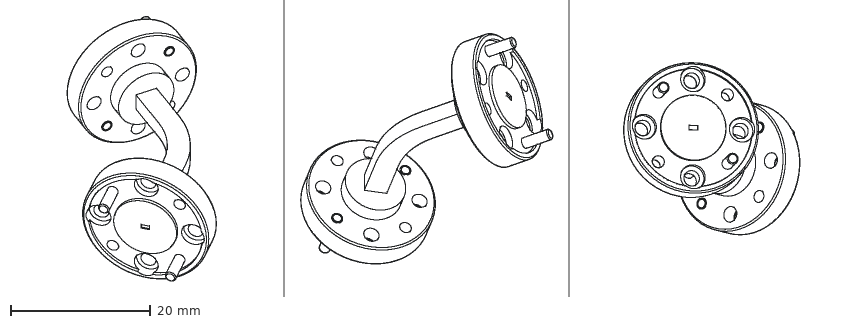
import cadquery as cq
import math

BEND_ANGLE = 45.0
BEND_RADIUS = 12.65
LEG_LENGTH = 7.2
TUBE_WIDTH = 3.32
TUBE_HEIGHT = 2.65

FLANGE_DIAMETER = 19.05
FLANGE_THICKNESS = 4.1
FLANGE_CHAMFER = 0.25
HUB_DIAMETER = 8.95
HUB_LENGTH = 2.5
BOSS_DIAMETER = 9.5
RIM_INNER_DIAMETER = 17.17
RECESS_DEPTH = 0.5

WINDOW_WIDTH = 1.3
WINDOW_HEIGHT = 0.65
WINDOW_DEPTH = 0.2

BOLT_CIRCLE_RADIUS = 7.1
SCREW_HOLE_DIAMETER = 2.25
COUNTERBORE_DIAMETER = 3.6
COUNTERBORE_DEPTH = 1.55
SCREW_ANGLES = (0, 90, 180, 270)
PIN_DIAMETER = 1.6
PIN_PROTRUSION = 3.9
PIN_CHAMFER = 0.17
PIN_ANGLES = (135, 315)
SOCKET_DIAMETER = 1.73
SOCKET_ANGLES = (45, 225)

bend_angle = math.radians(BEND_ANGLE)
bend_sin = math.sin(bend_angle)
bend_cos = math.cos(bend_angle)
hub_end = FLANGE_THICKNESS + HUB_LENGTH
straight_length = hub_end + LEG_LENGTH
bend_end_x = straight_length + BEND_RADIUS * bend_sin
bend_end_y = -BEND_RADIUS * (1 - bend_cos)
outlet_x = bend_end_x + straight_length * bend_cos
outlet_y = bend_end_y - straight_length * bend_sin

INLET_PLANE = cq.Plane(origin=(0, 0, 0), xDir=(0, -1, 0), normal=(-1, 0, 0))
OUTLET_PLANE = cq.Plane(
    origin=(outlet_x, outlet_y, 0),
    xDir=(bend_sin, bend_cos, 0),
    normal=(bend_cos, -bend_sin, 0),
)
MATING_PLANES = (INLET_PLANE, OUTLET_PLANE)


def bolt_circle_points(angles):
    """Points on the bolt circle at the given angles in degrees."""
    return [
        (
            BOLT_CIRCLE_RADIUS * math.cos(math.radians(angle)),
            BOLT_CIRCLE_RADIUS * math.sin(math.radians(angle)),
        )
        for angle in angles
    ]


def make_tube():
    """Bent rectangular bar joining the rear faces of the two hubs."""
    mid_x = straight_length + BEND_RADIUS * math.sin(bend_angle / 2)
    mid_y = -BEND_RADIUS * (1 - math.cos(bend_angle / 2))
    tube_end = (bend_end_x + LEG_LENGTH * bend_cos, bend_end_y - LEG_LENGTH * bend_sin)
    centreline = (
        cq.Workplane("XY")
        .moveTo(hub_end, 0)
        .lineTo(straight_length, 0)
        .threePointArc((mid_x, mid_y), (bend_end_x, bend_end_y))
        .lineTo(*tube_end)
    )
    section = cq.Workplane("YZ", origin=(hub_end, 0, 0)).rect(TUBE_WIDTH, TUBE_HEIGHT)
    return section.sweep(centreline)


def cut_holes(body, plane, points, diameter, depth):
    """Cut round holes from the mating plane inward."""
    holes = cq.Workplane(plane).pushPoints(points).circle(diameter / 2).extrude(-depth)
    return body.cut(holes)


def make_flange(plane):
    """Round flange with rear hub, raised centre boss and rim, and drilled bolt circle."""
    flange = (
        cq.Workplane(plane)
        .circle(FLANGE_DIAMETER / 2)
        .extrude(-FLANGE_THICKNESS)
        .edges()
        .chamfer(FLANGE_CHAMFER)
    )
    hub = (
        cq.Workplane(plane)
        .workplane(offset=-FLANGE_THICKNESS)
        .circle(HUB_DIAMETER / 2)
        .extrude(-HUB_LENGTH)
    )
    recess = (
        cq.Workplane(plane)
        .circle(RIM_INNER_DIAMETER / 2)
        .circle(BOSS_DIAMETER / 2)
        .extrude(-RECESS_DEPTH)
    )
    window = cq.Workplane(plane).rect(WINDOW_WIDTH, WINDOW_HEIGHT).extrude(-WINDOW_DEPTH)
    flange = flange.union(hub).cut(recess).cut(window)

    screw_points = bolt_circle_points(SCREW_ANGLES)
    flange = cut_holes(flange, plane, screw_points, SCREW_HOLE_DIAMETER, FLANGE_THICKNESS)
    flange = cut_holes(flange, plane, screw_points, COUNTERBORE_DIAMETER, COUNTERBORE_DEPTH)
    flange = cut_holes(
        flange, plane, bolt_circle_points(SOCKET_ANGLES), SOCKET_DIAMETER, FLANGE_THICKNESS
    )
    return cut_holes(
        flange, plane, bolt_circle_points(PIN_ANGLES), PIN_DIAMETER, FLANGE_THICKNESS
    )


def make_waveguide():
    """Bent rectangular tube with a flange at each end."""
    body = make_tube()
    for plane in MATING_PLANES:
        body = body.union(make_flange(plane))
    return body


def make_pin(plane, point):
    """Dowel pin, flush with the flange back and chamfered at both ends."""
    return (
        cq.Workplane(plane)
        .workplane(offset=-FLANGE_THICKNESS)
        .center(*point)
        .circle(PIN_DIAMETER / 2)
        .extrude(FLANGE_THICKNESS + PIN_PROTRUSION)
        .edges("%CIRCLE")
        .chamfer(PIN_CHAMFER)
    )


waveguide = make_waveguide()

pins = []
for mating_plane in MATING_PLANES:
    for pin_point in bolt_circle_points(PIN_ANGLES):
        pins.append(make_pin(mating_plane, pin_point).val())

result = cq.Compound.makeCompound([waveguide.val(), *pins])